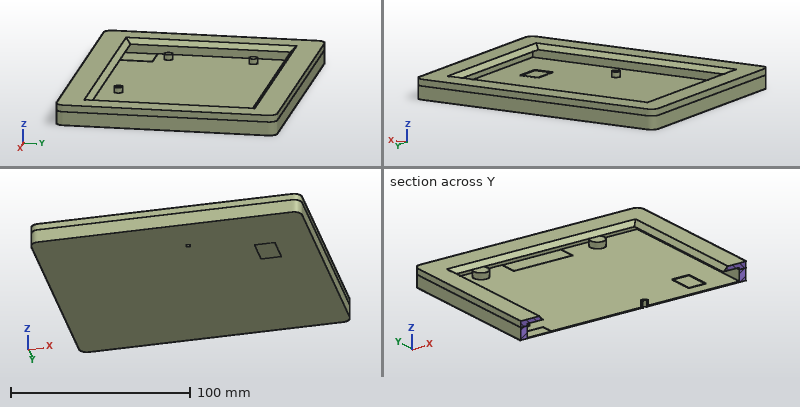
import cadquery as cq

LENGTH = 155.2
WIDTH = 125.2
HEIGHT = 11.8
CORNER_RADIUS = 4.7
FRAME_HEIGHT = 3.9
BASE_HEIGHT = HEIGHT - FRAME_HEIGHT

WALL = 5.0
CAVITY_LENGTH = LENGTH - 2 * WALL
CAVITY_WIDTH = WIDTH - 2 * WALL
FLOOR_THICKNESS = 1.0

OPENING_LENGTH = 123.7
OPENING_WIDTH = 90.8
FRAME_PLATE = 3.0
BEVEL = FRAME_PLATE

POST_DIAMETER = 9.6
POST_HEIGHT = 4.0
POST_X = 40.0
POST_Y = 50.3

STANDOFF_DIAMETER = 4.8
STANDOFF_HEIGHT = 3.1
SIDE_STANDOFF_X = -63.2
SIDE_STANDOFF_Y = 24.0
DRILLED_STANDOFF_X = 7.9
DRILLED_STANDOFF_Y = -39.4
SCREW_HOLE_DIAMETER = 2.3

WINDOW_RECESS_DEPTH = 0.5
WINDOW_LENGTH = 11.6
WINDOW_WIDTH = 16.0
WINDOW_X = 49.8
WINDOW_Y = -23.3
RECESS_DEPTH = 0.2
BACK_RECESS_LENGTH = 40.4
BACK_RECESS_FRONT_Y = 46.5
CORNER_RECESS_RIGHT_X = -56.6
CORNER_RECESS_BACK_Y = -32.0


def block(length, width, height, bottom, x=0, y=0):
    """A box centred on (x, y) that rises from the given bottom height."""
    return cq.Workplane("XY", origin=(x, y, bottom)).box(length, width, height, centered=(True, True, False))


def cylinder(diameter, height, bottom, x, y):
    """An upright cylinder centred on (x, y)."""
    return cq.Workplane("XY", origin=(x, y, bottom)).circle(diameter / 2).extrude(height)


def corner_block(x_range, y_range, height, bottom):
    """A box between two X limits and two Y limits."""
    (x0, x1), (y0, y1) = x_range, y_range
    return block(x1 - x0, y1 - y0, height, bottom, (x0 + x1) / 2, (y0 + y1) / 2)


def rounded_slab(height, bottom):
    """A slab with the full outline and rounded upright edges."""
    return block(LENGTH, WIDTH, height, bottom).edges("|Z").fillet(CORNER_RADIUS)


def make_shell():
    """The rounded tray: a floor and four outer walls."""
    cavity = block(CAVITY_LENGTH, CAVITY_WIDTH, BASE_HEIGHT - FLOOR_THICKNESS, FLOOR_THICKNESS)
    return rounded_slab(BASE_HEIGHT, 0).cut(cavity)


def add_posts(base):
    for side in (-1, 1):
        base = base.union(cylinder(POST_DIAMETER, POST_HEIGHT, FLOOR_THICKNESS, side * POST_X, POST_Y))
    return base


def add_standoffs(base):
    drilled_place = (DRILLED_STANDOFF_X, DRILLED_STANDOFF_Y)
    side_places = [(SIDE_STANDOFF_X, side * SIDE_STANDOFF_Y) for side in (-1, 1)]
    for x, y in [*side_places, drilled_place]:
        base = base.union(cylinder(STANDOFF_DIAMETER, STANDOFF_HEIGHT, FLOOR_THICKNESS, x, y))
    return base.cut(cylinder(SCREW_HOLE_DIAMETER, BASE_HEIGHT, 0, *drilled_place))


def cut_floor_recesses(base):
    half_length = CAVITY_LENGTH / 2
    half_width = CAVITY_WIDTH / 2
    half_back = BACK_RECESS_LENGTH / 2
    half_window_length = WINDOW_LENGTH / 2
    half_window_width = WINDOW_WIDTH / 2
    recesses = [
        (
            (WINDOW_X - half_window_length, WINDOW_X + half_window_length),
            (WINDOW_Y - half_window_width, WINDOW_Y + half_window_width),
            WINDOW_RECESS_DEPTH,
        ),
        ((-half_back, half_back), (BACK_RECESS_FRONT_Y, half_width), RECESS_DEPTH),
        ((-half_length, CORNER_RECESS_RIGHT_X), (-half_width, CORNER_RECESS_BACK_Y), RECESS_DEPTH),
    ]
    for x_range, y_range, depth in recesses:
        base = base.cut(corner_block(x_range, y_range, depth, FLOOR_THICKNESS - depth))
    return base


def make_base():
    base = make_shell()
    base = add_posts(base)
    base = add_standoffs(base)
    return cut_floor_recesses(base)


def make_frame():
    """The bezel: a plate with a bevelled opening and a thin rim below it that rests on the base."""
    underside_recess = block(CAVITY_LENGTH, CAVITY_WIDTH, FRAME_HEIGHT - FRAME_PLATE, BASE_HEIGHT)
    frame = rounded_slab(FRAME_HEIGHT, BASE_HEIGHT).cut(underside_recess)
    opening = (
        cq.Workplane("XY", origin=(0, 0, HEIGHT - FRAME_PLATE))
        .rect(OPENING_LENGTH, OPENING_WIDTH)
        .workplane(offset=FRAME_PLATE)
        .rect(OPENING_LENGTH + 2 * BEVEL, OPENING_WIDTH + 2 * BEVEL)
        .loft(ruled=True)
    )
    return frame.cut(opening)


base = make_base()
frame = make_frame()
result = cq.Compound.makeCompound([base.val(), frame.val()])